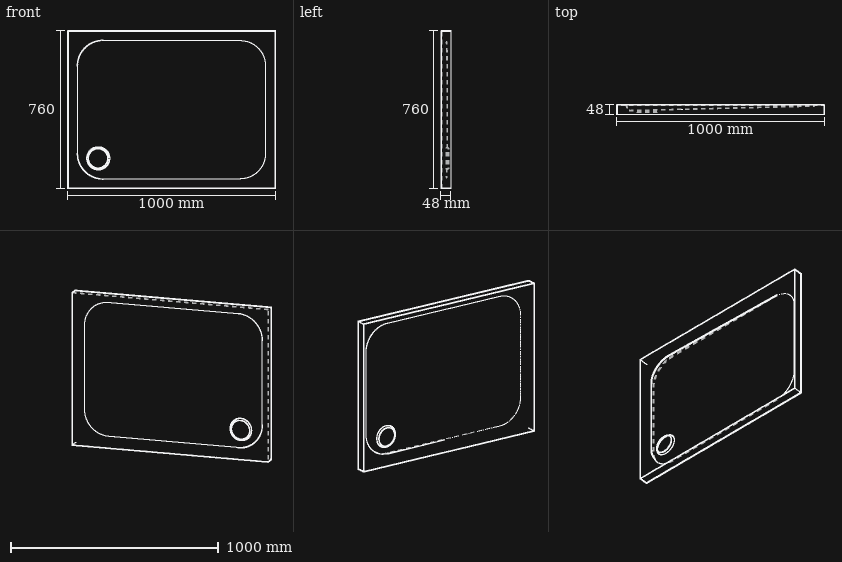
import cadquery as cq
import math

length = 1000.0
depth = 48.0
height = 760.0
sheet = 3.0
bend_radius = 2.0
edge_radius = 3.0

rim_margin = 45.0
rim_radius = 125.0
wall_inset = 8.0
floor_radius = 4.0
floor_y_left = 18.0
floor_y_right = 40.0

drain_offset = 146.0
drain_diameter = 92.0
collar_base_diameter = 114.0
collar_top_diameter = 96.0
collar_height = 10.0

deck_y = depth - sheet
floor_length = length - 2 * (rim_margin + wall_inset)
floor_y_middle = (floor_y_left + floor_y_right) / 2
floor_tilt = math.degrees(math.atan2(floor_y_right - floor_y_left, floor_length))
floor_slope = (floor_y_right - floor_y_left) / floor_length
drain_x = drain_offset - length / 2
drain_z = drain_offset - height / 2
drain_floor_y = floor_y_middle + floor_slope * drain_x


def basin_block(offset):
    """Solid basin form, with its walls and floor moved inward by offset."""
    def outline(inset):
        radius = rim_radius - (inset - rim_margin)
        return cq.Sketch().rect(length - 2 * inset, height - 2 * inset).vertices().fillet(radius)

    mouth_inset = rim_margin + offset
    floor_place = cq.Location(
        cq.Vector(0, 0, deck_y - floor_y_middle), cq.Vector(0, 1, 0), floor_tilt
    )
    floor = outline(mouth_inset + wall_inset).moved(floor_place)
    block = cq.Workplane("XZ", origin=(0, deck_y, 0)).placeSketch(outline(mouth_inset), floor).loft()
    block = block.faces("<Y").edges().fillet(floor_radius)
    return block.translate((0, offset, 0))


def skirted_deck():
    """Flat deck with a thin skirt, open toward -Y."""
    body = cq.Workplane("XY").box(length, depth, height).translate((0, depth / 2, 0))
    body = body.edges("|Y or >Y").fillet(edge_radius)
    hollow = cq.Workplane("XY").box(length - 2 * sheet, deck_y, height - 2 * sheet)
    hollow = hollow.faces(">Y").edges().fillet(bend_radius)
    return body.cut(hollow.translate((0, deck_y / 2, 0)))


def drain_cone(offset):
    """Collar cone rising from the basin floor toward -Y, moved inward by offset."""
    top_y = drain_floor_y - collar_height + offset
    base_y = drain_floor_y + sheet / 2 + offset
    cone = cq.Solid.makeCone(
        collar_top_diameter / 2 - offset,
        collar_base_diameter / 2 - offset,
        base_y - top_y,
        cq.Vector(drain_x, top_y, drain_z),
        cq.Vector(0, 1, 0),
    )
    return cq.Workplane(cone)


def drain_hole():
    """Straight hole through the collar and the basin floor."""
    return (
        cq.Workplane("XZ", origin=(drain_x, 0, drain_z))
        .circle(drain_diameter / 2)
        .extrude(-depth)
    )


mouth_edges = cq.selectors.BoxSelector(
    (-length / 2 + rim_margin / 2, deck_y - sheet / 2, -height / 2 + rim_margin / 2),
    (length / 2 - rim_margin / 2, deck_y + sheet / 2, height / 2 - rim_margin / 2),
)
outer_form = skirted_deck().union(basin_block(0)).edges(mouth_edges).fillet(bend_radius)

result = (
    outer_form
    .cut(basin_block(sheet))
    .union(drain_cone(0))
    .cut(drain_cone(sheet))
    .cut(drain_hole())
)